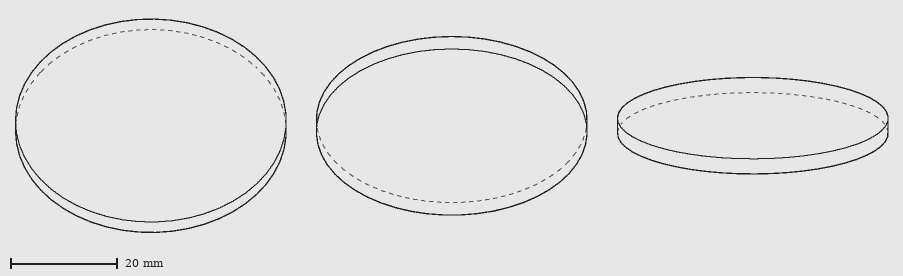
import cadquery as cq

diameter = 50.8
center_thickness = 5.55
rim_thickness = 3.0

radius = diameter / 2
half_center = center_thickness / 2
half_rim = rim_thickness / 2
dome_height = half_center - half_rim
sphere_radius = (radius**2 + dome_height**2) / (2 * dome_height)

mid_radius = radius / 2
mid_height = half_center - sphere_radius + (sphere_radius**2 - mid_radius**2) ** 0.5

half_section = (
    cq.Workplane("XZ")
    .moveTo(0, -half_center)
    .threePointArc((mid_radius, -mid_height), (radius, -half_rim))
    .lineTo(radius, half_rim)
    .threePointArc((mid_radius, mid_height), (0, half_center))
    .close()
)
result = half_section.revolve(360, (0, 0, 0), (0, 1, 0))